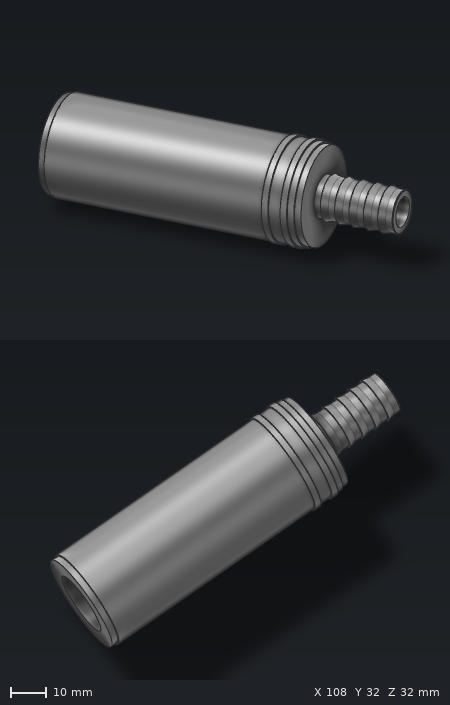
import cadquery as cq

total_length = 108.0
body_length = 83.0
body_diameter = 31.0

shoulder_diameter = 30.0
shoulder_length = 2.0

ring_diameter = 32.0
ring_width = 2.0
ring_starts = (71.0, 76.9)

barb_count = 5
stem_diameter = 13.0
barb_diameter = 14.0
tip_chamfer = 0.2
stem_length = total_length - body_length
barb_length = stem_length / (2 * barb_count + 1)

socket_diameter = 19.0
passage_diameter = 9.0
socket_depth = body_length - (body_diameter - socket_diameter) / 2


def cylinder(start, length, diameter):
    """Cylinder on the X axis, starting at X = start."""
    return cq.Workplane("YZ", origin=(start, 0, 0)).circle(diameter / 2).extrude(length)


def make_body():
    """Main barrel with its end shoulders and raised rings."""
    barrel_length = body_length - 2 * shoulder_length
    body = cylinder(0, body_length, shoulder_diameter)
    body = body.union(cylinder(shoulder_length, barrel_length, body_diameter))
    for start in ring_starts:
        body = body.union(cylinder(start, ring_width, ring_diameter))
    return body


def make_hose_stem():
    """Stem with barbs: each rises in a square step and tapers towards the tip."""
    stem_radius = stem_diameter / 2
    profile = cq.Workplane("XY").moveTo(body_length, 0).lineTo(body_length, stem_radius)
    for index in range(barb_count):
        barb_start = body_length + (2 * index + 1) * barb_length
        profile = profile.lineTo(barb_start, stem_radius)
        profile = profile.lineTo(barb_start, barb_diameter / 2)
        profile = profile.lineTo(barb_start + barb_length, stem_radius)
    profile = profile.lineTo(total_length, stem_radius).lineTo(total_length, 0).close()
    stem = profile.revolve(360, (0, 0, 0), (1, 0, 0))
    return stem.faces(">X").edges().chamfer(tip_chamfer)


socket = cylinder(0, socket_depth, socket_diameter)
passage = cylinder(0, total_length, passage_diameter)

result = make_body().union(make_hose_stem()).cut(socket).cut(passage)